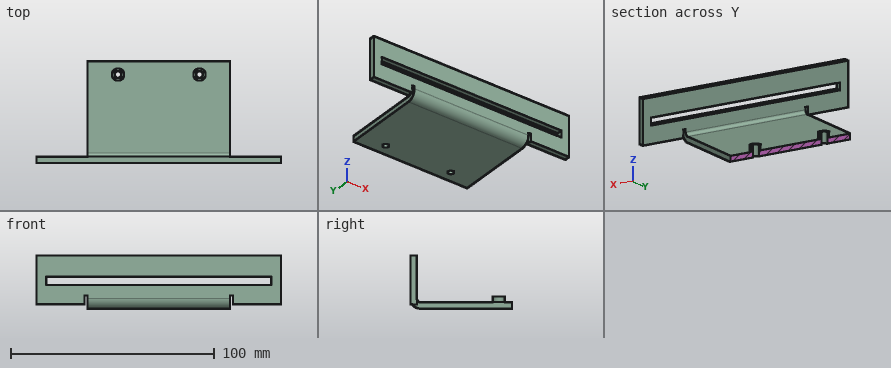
import cadquery as cq

length = 120.0
depth = 50.0
height = 26.2
thickness = 3.2
inner_bend_radius = 1.8
shelf_width = 70.0

plate_height = 24.0
plate_bottom = height - plate_height
slot_length = 110.3
slot_height = 4.0
slot_top_margin = 10.5
relief_width = 1.5
relief_top = 6.5

standoff_diameter = 6.0
standoff_height = 2.9
standoff_hole_diameter = 3.2
standoff_spacing = 40.0
standoff_back_margin = 6.6


outer_bend_radius = inner_bend_radius + thickness


def box(size_x, size_y, size_z, front, bottom):
    """Box centred on X, starting at the given front face and bottom face."""
    return (
        cq.Workplane("XY")
        .box(size_x, size_y, size_z, centered=(True, False, False))
        .translate((0, front, bottom))
    )


def make_upright_plate():
    """Full-length plate with a long slot and room for the bend and its reliefs."""
    plate = box(length, thickness, plate_height, 0, plate_bottom)
    slot_bottom = height - slot_top_margin - slot_height
    slot = box(slot_length, thickness, slot_height, 0, slot_bottom)
    bend_opening = box(shelf_width + 2 * relief_width, thickness, relief_top, 0, 0)
    return plate.cut(slot).cut(bend_opening)


def make_bent_shelf():
    """L-shaped strip joining the plate above the reliefs to the flat shelf."""
    strip = box(shelf_width, depth, relief_top, 0, 0)
    inside = box(shelf_width, depth - thickness, relief_top - thickness, thickness, thickness)
    inside = inside.edges("<Y and <Z").fillet(inner_bend_radius)
    return strip.edges("<Y and <Z").fillet(outer_bend_radius).cut(inside)


def add_standoffs(body):
    """Raised rings near the back edge, drilled through the shelf."""
    row_y = depth - standoff_back_margin
    centres = [(side * standoff_spacing / 2, row_y) for side in (-1, 1)]
    top = thickness + standoff_height
    posts = cq.Workplane("XY").pushPoints(centres).circle(standoff_diameter / 2).extrude(top)
    holes = cq.Workplane("XY").pushPoints(centres).circle(standoff_hole_diameter / 2).extrude(top)
    return body.union(posts).cut(holes)


result = add_standoffs(make_upright_plate().union(make_bent_shelf()))